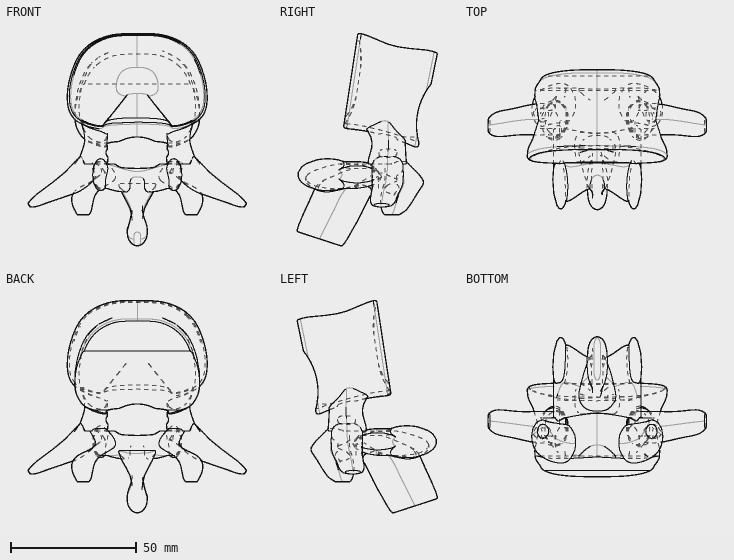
import cadquery as cq
import math


Y_AXIS = (0, 1, 0)
DOWN = (0, 0, -1)
HALF_SECTION_STEPS = 6

KIDNEY_HALF = [
    (0.40, 0.98),
    (0.63, 0.91),
    (0.80, 0.80),
    (0.94, 0.59),
    (1.00, 0.35),
    (0.88, 0.09),
    (0.54, 0.0),
]

BODY_STATIONS = [
    ((-4.1, 42.4), (-9.9, 4.4), 28.0, 1.9),
    ((5.8, 38.8), (0.0, 3.0), 24.9, 1.8),
    ((14.0, 36.6), (8.0, 1.0), 23.4, 1.8),
    ((22.0, 35.8), (14.0, -1.2), 24.9, 2.2),
    ((27.8, 34.6), (20.0, -3.4), 24.3, 2.5),
]

RIM_STEPS = [(0.97, 0.0), (0.992, 0.5), (1.0, 1.4)]

DISH_NOTCH = 3.4
DISH_STEPS = [(0.96, -0.1), (0.70, 2.0), (0.30, 3.2)]

SADDLE_RADIUS = 26.1
SADDLE_CENTRE = (45.5, 5.6)
SADDLE_LENGTH = 90.0

PEDICLE = [
    ((16.5, 8.0, 8.0), 10.5, 6.0),
    ((16.5, 8.0, 3.5), 8.4, 5.0),
    ((16.5, 8.2, 0.0), 6.9, 4.5),
    ((17.0, 8.0, -5.0), 7.0, 5.2),
    ((17.6, 7.7, -10.0), 7.5, 5.6),
]

TRANSVERSE = [
    ((16.0, 8.0, -8.5), 6.6, 6.0),
    ((22.0, 7.8, -13.6), 6.3, 5.3),
    ((29.0, 7.4, -18.8), 5.8, 4.2),
    ((36.0, 6.4, -22.4), 5.3, 2.9),
    ((41.0, 5.7, -25.3), 4.6, 1.9),
    ((43.25, 5.4, -26.4), 3.0, 0.8),
]
TRANSVERSE_SLOPE = math.radians(-33)
TRANSVERSE_POWER = 2.5

SPINOUS = [
    ((0, -6.0, -17.0), 6.0, 7.0),
    ((0, -8.5, -19.5), 10.0, 6.8),
    ((0, -10.5, -22.0), 10.6, 5.4),
    ((0, -13.0, -27.0), 10.6, 2.8),
    ((0, -15.5, -32.0), 10.4, 2.6),
    ((0, -18.0, -37.0), 10.1, 4.1),
    ((0, -19.1, -39.2), 9.7, 3.2),
    ((0, -19.4, -39.9), 8.9, 1.4),
]
SPINOUS_TILT = math.radians(18)
SPINOUS_POWER = 2.6

LAMINA = [
    (0.0, -8.5, -16.0, 11.5, 3.3, 20),
    (7.0, -9.5, -15.5, 13.0, 4.2, 16),
    (12.0, -10.5, -14.9, 14.5, 4.9, 5),
    (15.9, -5.0, -14.2, 10.5, 5.2, 0),
    (17.4, -4.5, -14.1, 8.5, 3.4, 0),
]

INFERIOR_CENTRE = (14.6, -16.2, -14.2)
INFERIOR_SEMI_AXES = (3.2, 11.8, 6.4)

SUPERIOR = [
    ((16.5, 11.0, -9.0), 4.3, 4.0),
    ((17.0, 14.0, -18.5), 7.8, 4.5),
    ((21.4, 12.2, -22.5), 7.0, 4.6),
    ((21.9, 11.2, -25.5), 6.2, 4.2),
    ((21.7, 9.5, -30.3), 2.8, 2.2),
]

CANAL_HALF = [(0.0, 0.8), (7.8, -1.2), (12.5, -5.4), (9.5, -9.5), (0.0, -11.7)]
CANAL_LENGTH = 90.0


def symmetric_wire(plane, half_outline):
    """Closed wire through a half outline, given from top to bottom, and its mirror image."""
    halves = []
    for side in (1, -1):
        points = [plane.toWorldCoords((side * x, y)) for x, y in half_outline]
        tangents = [plane.xDir * side, plane.xDir * -side]
        halves.append(cq.Edge.makeSpline(points, tangents=tangents))
    return cq.Wire.assembleEdges(halves)


def kidney_wire(station, scale=1.0, shift=0.0):
    """Kidney outline in the tilted plane of a body station, moved along the plane normal."""
    (top_y, top_z), (bottom_y, bottom_z), half_width, notch = station
    height = math.hypot(top_y - bottom_y, top_z - bottom_z)
    up_y, up_z = (top_y - bottom_y) / height, (top_z - bottom_z) / height
    middle_y, middle_z = (top_y + bottom_y) / 2, (top_z + bottom_z) / 2
    plane = cq.Plane(
        origin=(0, middle_y + shift * up_z, middle_z - shift * up_y),
        xDir=(1, 0, 0),
        normal=(0, -up_z, up_y),
    )
    flank = [(u * half_width, (v - 0.5) * height) for u, v in KIDNEY_HALF]
    outline = [(0, height / 2)] + flank + [(0, notch - height / 2)]
    return symmetric_wire(plane, [(x * scale, y * scale) for x, y in outline])


def oval_wire(centre, width_dir, normal, half_width, half_thickness, power=2.0):
    """Superellipse outline; a power above 2 squares it up."""
    plane = cq.Plane(origin=centre, xDir=width_dir, normal=normal)
    half_outline = []
    for i in range(HALF_SECTION_STEPS + 1):
        angle = math.pi * i / HALF_SECTION_STEPS
        across, along = math.sin(angle), math.cos(angle)
        x = abs(across) ** (2 / power) * half_width
        y = math.copysign(abs(along) ** (2 / power), along) * half_thickness
        half_outline.append((x, y))
    return symmetric_wire(plane, half_outline)


def loft(wires):
    return cq.Workplane(cq.Solid.makeLoft(wires))


def limb(stations, width_dir, normal, power=2.0):
    return loft([oval_wire(c, width_dir, normal, w, t, power) for c, w, t in stations])


def both_sides(half):
    return half.union(half.mirror("YZ"))


def make_body():
    front, rear = BODY_STATIONS[0], BODY_STATIONS[-1]
    rim_inset = RIM_STEPS[-1][1]
    wires = [kidney_wire(front, shift=rim_inset)]
    wires += [kidney_wire(station) for station in BODY_STATIONS[1:-1]]
    wires += [kidney_wire(rear, shift=-rim_inset)]
    body = loft(wires)
    for end, inward in ((front, 1), (rear, -1)):
        body = body.union(loft([kidney_wire(end, scale, inward * inset) for scale, inset in RIM_STEPS]))
    dish_outline = front[:3] + (DISH_NOTCH,)
    dish = loft([kidney_wire(dish_outline, scale, depth) for scale, depth in DISH_STEPS])
    saddle = (
        cq.Workplane("YZ", origin=(-SADDLE_LENGTH / 2, 0, 0))
        .center(*SADDLE_CENTRE).circle(SADDLE_RADIUS).extrude(SADDLE_LENGTH)
    )
    return body.cut(dish).cut(saddle)


def lamina_wire(side, station):
    x, y, z, half_depth, half_thickness, tilt = station
    angle = math.radians(tilt)
    forward = (0, -math.cos(angle), -math.sin(angle))
    return oval_wire((side * x, y, z), forward, (1, 0, 0), half_depth, half_thickness)


def make_lamina():
    left = [lamina_wire(-1, station) for station in reversed(LAMINA[1:])]
    right = [lamina_wire(1, station) for station in LAMINA]
    return loft(left + right)


def make_inferior_processes():
    a, b, c = INFERIOR_SEMI_AXES
    stretch = cq.Matrix([[a, 0, 0, 0], [0, b, 0, 0], [0, 0, c, 0]])
    ball = cq.Workplane("XY").sphere(1).val().transformGeometry(stretch)
    return both_sides(cq.Workplane(ball).translate(INFERIOR_CENTRE))


def make_canal():
    start = CANAL_LENGTH / 2
    plane = cq.Plane(origin=(0, start, 0), xDir=(1, 0, 0), normal=(0, -1, 0))
    opening = symmetric_wire(plane, CANAL_HALF)
    return cq.Workplane(cq.Solid.extrudeLinear(opening, [], plane.zDir * CANAL_LENGTH))


def make_pedicles():
    return both_sides(limb(PEDICLE, Y_AXIS, DOWN))


def make_transverse_processes():
    outward = (math.cos(TRANSVERSE_SLOPE), 0, math.sin(TRANSVERSE_SLOPE))
    return both_sides(limb(TRANSVERSE, Y_AXIS, outward, TRANSVERSE_POWER))


def make_superior_processes():
    return both_sides(limb(SUPERIOR, Y_AXIS, DOWN))


def make_spinous_process():
    forward = (0, -math.cos(SPINOUS_TILT), math.sin(SPINOUS_TILT))
    downward = (0, -math.sin(SPINOUS_TILT), -math.cos(SPINOUS_TILT))
    return limb(SPINOUS, forward, downward, SPINOUS_POWER)


result = make_body()
arch_pieces = (
    make_pedicles(),
    make_transverse_processes(),
    make_superior_processes(),
    make_lamina(),
    make_spinous_process(),
    make_inferior_processes(),
)
for piece in arch_pieces:
    result = result.union(piece)
result = result.cut(make_canal())